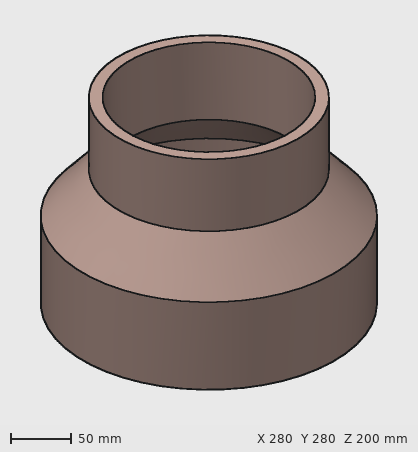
import cadquery as cq

wide_outer_radius = 140.0
wide_wall = 16.0
narrow_outer_radius = 100.0
narrow_wall = 11.5

total_height = 200.0
wide_height = 85.0
narrow_height = 70.0
narrow_bore_depth = 75.0

wide_inner_radius = wide_outer_radius - wide_wall
narrow_inner_radius = narrow_outer_radius - narrow_wall
cone_top = total_height - narrow_height
bore_cone_top = total_height - narrow_bore_depth

wall_section = (
    cq.Workplane("XZ")
    .moveTo(wide_outer_radius, 0)
    .lineTo(wide_outer_radius, wide_height)
    .lineTo(narrow_outer_radius, cone_top)
    .lineTo(narrow_outer_radius, total_height)
    .lineTo(narrow_inner_radius, total_height)
    .lineTo(narrow_inner_radius, bore_cone_top)
    .lineTo(wide_inner_radius, wide_height)
    .lineTo(wide_inner_radius, 0)
    .close()
)

result = wall_section.revolve(360, (0, 0, 0), (0, 1, 0))